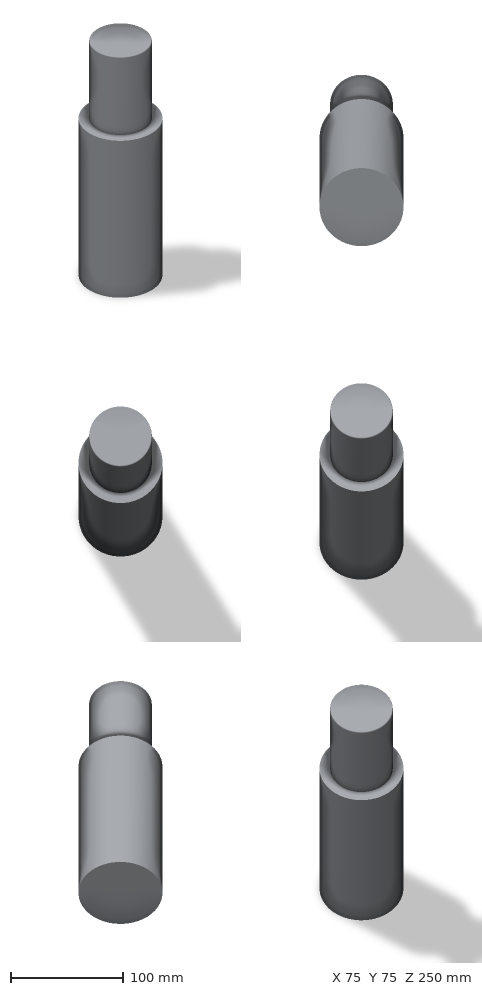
import cadquery as cq

total_height = 250.0
body_diameter = 75.0
body_height = 167.0
pin_diameter = 56.0
pin_edge_radius = 1.0

pin_height = total_height - body_height

body = cq.Workplane("XY").circle(body_diameter / 2).extrude(body_height)

pin = (
    cq.Workplane("XY")
    .workplane(offset=body_height)
    .circle(pin_diameter / 2)
    .extrude(pin_height)
    .faces(">Z")
    .fillet(pin_edge_radius)
)

result = body.union(pin)